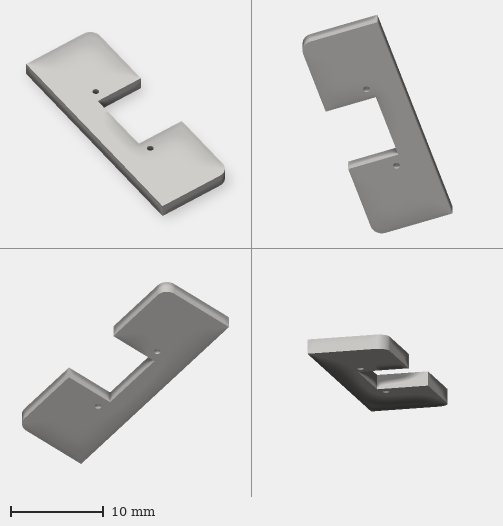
import cadquery as cq

length = 25.4
width = 8.9
thickness = 1.6
corner_radius = 1.27

notch_width = 7.62
web_width = 3.18
notch_depth = width - web_width

hole_diameter = 0.7
hole_spacing = 10.15
hole_from_front = 3.8


def make_plate():
    """Plate with its front edge on Y = 0 and rounded back corners."""
    plate = cq.Workplane("XY").box(length, width, thickness, centered=(True, False, False))
    return plate.edges("|Z and >Y").fillet(corner_radius)


def make_notch():
    """Block removed from the middle of the back edge."""
    notch = cq.Workplane("XY").box(notch_width, notch_depth, thickness, centered=(True, False, False))
    return notch.translate((0, web_width, 0))


def make_holes():
    """Pair of through holes, symmetric about the middle of the plate."""
    centers = [(side * hole_spacing / 2, hole_from_front) for side in (-1, 1)]
    return cq.Workplane("XY").pushPoints(centers).circle(hole_diameter / 2).extrude(thickness)


result = make_plate().cut(make_notch()).cut(make_holes())